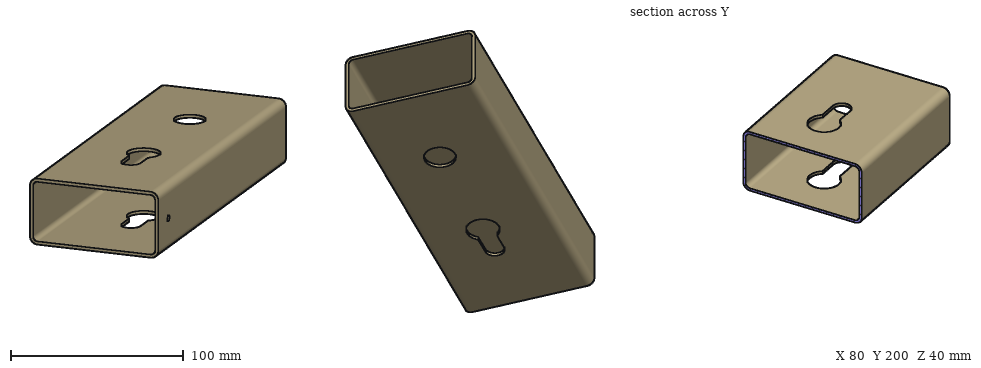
import cadquery as cq

width = 80.0
length = 200.0
height = 40.0
wall = 2.0
outer_radius = 4.8
inner_radius = outer_radius - wall

lock_x = 3.0
handle_y = 42.2
handle_diameter = 18.5
cylinder_y = -29.8
cylinder_diameter = 19.5
key_slot_width = 11.5
key_slot_end_y = -55.5

side_hole_y = -84.0
side_hole_diameter = 3.5


def rounded_bar(bar_width, bar_height, radius):
    """Full-length bar along Y with rounded long edges."""
    return cq.Workplane("XY").box(bar_width, length, bar_height).edges("|Y").fillet(radius)


def round_cutter(center_y, diameter):
    """Vertical cylinder that passes through both broad walls."""
    return (
        cq.Workplane("XY")
        .center(lock_x, center_y)
        .circle(diameter / 2)
        .extrude(height, both=True)
    )


def profile_cylinder_cutter():
    """Keyhole shape: a large circle with a round-ended slot towards -Y."""
    slot_radius = key_slot_width / 2
    slot_center_y = key_slot_end_y + slot_radius
    slot_length = cylinder_y - slot_center_y
    straight_part = (
        cq.Workplane("XY")
        .center(lock_x, slot_center_y + slot_length / 2)
        .rect(key_slot_width, slot_length)
        .extrude(height, both=True)
    )
    return (
        round_cutter(cylinder_y, cylinder_diameter)
        .union(straight_part)
        .union(round_cutter(slot_center_y, key_slot_width))
    )


def side_hole_cutter():
    """Horizontal cylinder from the middle of the tube out through the +X wall."""
    return (
        cq.Workplane("YZ")
        .center(side_hole_y, 0)
        .circle(side_hole_diameter / 2)
        .extrude(width)
    )


outer = rounded_bar(width, height, outer_radius)
bore = rounded_bar(width - 2 * wall, height - 2 * wall, inner_radius)
tube = outer.cut(bore)

result = (
    tube.cut(round_cutter(handle_y, handle_diameter))
    .cut(profile_cylinder_cutter())
    .cut(side_hole_cutter())
)